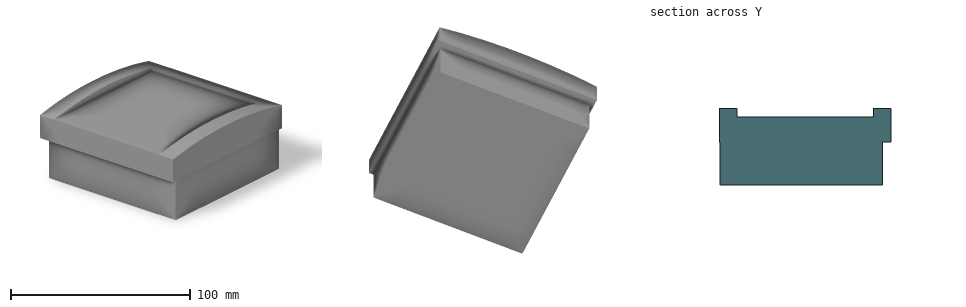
import cadquery as cq

cover_size = 96.0
cover_bottom_z = 24.0
cover_edge_z = 38.0
cover_crest_z = 42.94

box_size = 91.0
box_shift_x = 2.25

rim_width = 10.2
recess_floor_z = cover_edge_z

half_cover = cover_size / 2


def make_box():
    """Square block that reaches from the base up to the underside of the cover."""
    return (
        cq.Workplane("XY")
        .center(box_shift_x, 0)
        .rect(box_size, box_size)
        .extrude(cover_bottom_z)
    )


def make_cover():
    """Arched side profile, extruded across the full width in X."""
    return (
        cq.Workplane("YZ", origin=(-half_cover, 0, 0))
        .moveTo(-half_cover, cover_bottom_z)
        .lineTo(-half_cover, cover_edge_z)
        .threePointArc((0, cover_crest_z), (half_cover, cover_edge_z))
        .lineTo(half_cover, cover_bottom_z)
        .close()
        .extrude(cover_size)
    )


def make_recess():
    """Cutter for the flat-floored recess, leaving a rim on three sides."""
    recess_width = cover_size - 2 * rim_width
    recess_length = cover_size - rim_width
    return (
        cq.Workplane("XY")
        .box(recess_width, recess_length, cover_crest_z - recess_floor_z, centered=(True, False, False))
        .translate((0, -half_cover, recess_floor_z))
    )


result = make_cover().cut(make_recess()).union(make_box())